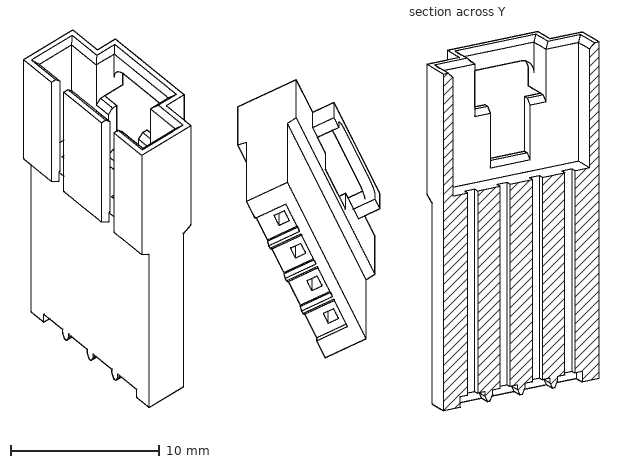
import cadquery as cq
import math


width = 12.19
height = 24.26
shroud_depth = 4.39
shroud_front = -shroud_depth / 2
shroud_back = shroud_depth / 2

body_depth = 3.07
body_front = -body_depth / 2
body_back = body_depth / 2
shoulder_bottom = 14.48
shoulder_rise = 0.4

wall = 0.76
lead_in = 0.38
rim = wall - lead_in
floor_z = 15.34

bump_width = 7.1
bump_height = 3.78
bump_back = shroud_back + 1.6
bump_bottom = height - bump_height

window_width = bump_width - 2 * wall
window_top = height - 1.55
window_radius = 1.02
notch_width = 3.1
notch_bottom = floor_z + 1.2

slot_width = 1.27
slot_offset = 2.58

pin_count = 4
pitch = 2.54
pin_size = 0.77
pin_positions = [(i - (pin_count - 1) / 2) * pitch for i in range(pin_count)]

recess_width = 1.92
recess_height = 0.76
recess_depth = body_depth - wall
tooth_tip_width = 0.2
tooth_taper_height = 0.44


def box(x_min, x_max, y_min, y_max, z_min, z_max):
    size = (x_max - x_min, y_max - y_min, z_max - z_min)
    return cq.Workplane("XY").box(*size, centered=False).translate((x_min, y_min, z_min))


def shroud_outline(inset):
    """Corners of the shroud rectangle with its key bump, moved inward by inset."""
    half_width = width / 2 - inset
    half_bump = bump_width / 2 - inset
    front = shroud_front + inset
    back = shroud_back - inset
    return [
        (-half_width, front),
        (half_width, front),
        (half_width, back),
        (half_bump, back),
        (half_bump, bump_back - inset),
        (-half_bump, bump_back - inset),
        (-half_bump, back),
        (-half_width, back),
    ]


def make_outer():
    """Body, shoulder, shroud and key bump as one solid block."""
    shoulder_top = shoulder_bottom + shoulder_rise
    profile = [
        (body_front, 0),
        (body_back, 0),
        (body_back, shoulder_bottom),
        (shroud_back, shoulder_top),
        (shroud_back, height),
        (shroud_front, height),
        (shroud_front, shoulder_top),
        (body_front, shoulder_bottom),
    ]
    block = cq.Workplane("YZ").polyline(profile).close().extrude(width / 2, both=True)
    bump_plane = cq.Workplane("XY", origin=(0, 0, bump_bottom))
    return block.union(bump_plane.polyline(shroud_outline(0)).close().extrude(bump_height))


def make_cavity():
    """Main pocket, the bump pocket open at its underside, and the tapered mouth."""
    main = box(-width / 2 + wall, width / 2 - wall,
               shroud_front + wall, shroud_back - wall, floor_z, height)
    bump = box(-window_width / 2, window_width / 2,
               0, bump_back - wall, bump_bottom, height)
    mouth = (
        cq.Workplane("XY", origin=(0, 0, height - lead_in))
        .polyline(shroud_outline(wall))
        .close()
        .workplane(offset=lead_in)
        .polyline(shroud_outline(rim))
        .close()
        .loft(ruled=True)
    )
    return main.union(bump).union(mouth)


def make_window():
    """Opening with rounded top corners above the back wall."""
    half = window_width / 2
    half_top = half - window_radius
    arc_drop = window_radius * (1 - math.sqrt(0.5))
    spring_z = window_top - window_radius
    return (
        cq.Workplane("XZ")
        .moveTo(-half, bump_bottom)
        .lineTo(half, bump_bottom)
        .lineTo(half, spring_z)
        .threePointArc((half - arc_drop, window_top - arc_drop), (half_top, window_top))
        .lineTo(-half_top, window_top)
        .threePointArc((-half + arc_drop, window_top - arc_drop), (-half, spring_z))
        .close()
        .extrude(-bump_back)
    )


def make_ledge_bevel(ledge_width, ledge_z):
    """Wedge that bevels the inner top edge of the back wall."""
    inner = shroud_back - wall
    profile = [
        (inner, ledge_z),
        (inner + lead_in, ledge_z),
        (inner, ledge_z - lead_in),
    ]
    return cq.Workplane("YZ").polyline(profile).close().extrude(ledge_width / 2, both=True)


def make_notch():
    """Deep centre notch in the back wall below the window."""
    return box(-notch_width / 2, notch_width / 2, 0, shroud_back, notch_bottom, bump_bottom)


def make_front_slot(x):
    """Full-height slot in the shroud front, down to the body face."""
    half = slot_width / 2
    face = box(x - half, x + half, shroud_front, body_front, shoulder_bottom, height)
    opening = box(x - half, x + half, shroud_front, 0, floor_z, height)
    return face.union(opening)


def make_pin_hole(x):
    half = pin_size / 2
    return box(x - half, x + half, -half, half, 0, height)


def make_recess(x):
    """Bottom recess open to the front; it flares at its foot on each side that has a neighbour."""
    half = recess_width / 2
    flare = (pitch - recess_width - tooth_tip_width) / 2
    left_flare = 0 if x == pin_positions[0] else flare
    right_flare = 0 if x == pin_positions[-1] else flare
    points = [
        (x - half - left_flare, 0),
        (x - half, tooth_taper_height),
        (x - half, recess_height),
        (x + half, recess_height),
        (x + half, tooth_taper_height),
        (x + half + right_flare, 0),
    ]
    front_plane = cq.Workplane("XZ", origin=(0, body_front, 0))
    return front_plane.polyline(points).close().extrude(-recess_depth)


result = make_outer().cut(make_cavity()).cut(make_window()).cut(make_notch())
result = result.cut(make_ledge_bevel(window_width, bump_bottom))
result = result.cut(make_ledge_bevel(notch_width, notch_bottom))

for slot_x in (-slot_offset, slot_offset):
    result = result.cut(make_front_slot(slot_x))

for pin_x in pin_positions:
    result = result.cut(make_pin_hole(pin_x))
    result = result.cut(make_recess(pin_x))